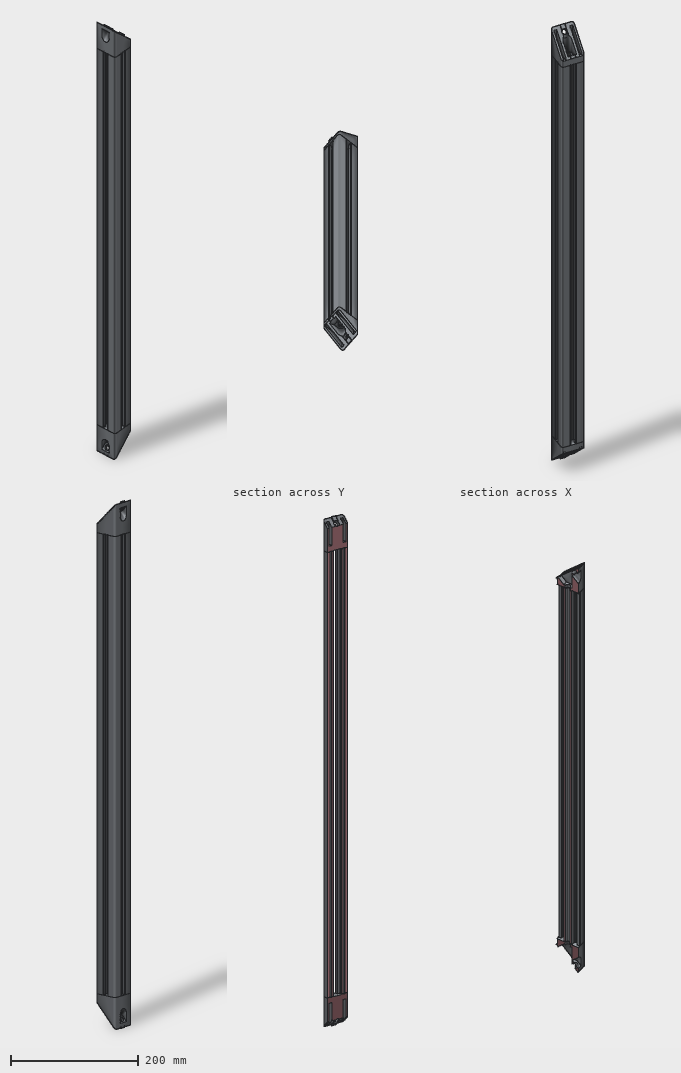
import cadquery as cq
import math

bar_size = 40.0
half_size = bar_size / 2
bar_length = 750.0
corner_radius = 4.0
core_diameter = 6.8

slot_half_width = 4.1
mouth_half_width = 5.4
mouth_depth = 0.8
lip_depth = 5.5
undercut_half_width = 9.0
undercut_depth = 8.5
slot_floor_half_width = 6.5
slot_depth = 12.25

overall_length = 856.83
mitre_sine = math.sin(math.radians(45))
mitre_length = bar_size / mitre_sine

key_width = 8.0
key_overhang = 1.44
key_height = key_overhang / mitre_sine
cap_height = (overall_length - bar_length) / 2 - key_overhang
mitre_mid_height = cap_height - half_size

screw_diameter = 9.0
head_diameter = 15.0

axial_seat_height = 6.0
axial_seat_reach = 7.0

mounting_hole_offset = 16.0
mounting_pocket_offset = 14.2
mounting_wall = 5.5

side_pocket_x = 14.0
side_pocket_y = 1.0
side_pocket_width = 5.0
side_pocket_length = 34.0
side_pocket_floor = 10.0


def make_block(length):
    """Square block with rounded long edges, standing on Z = 0."""
    block = cq.Workplane("XY").rect(bar_size, bar_size).extrude(length)
    return block.edges("|Z").fillet(corner_radius)


def make_slot():
    """T-slot cutter for the +Y side of the bar."""
    half_outline = [
        (mouth_half_width, half_size),
        (slot_half_width, half_size - mouth_depth),
        (slot_half_width, half_size - lip_depth),
        (undercut_half_width, half_size - lip_depth),
        (undercut_half_width, half_size - undercut_depth),
        (slot_floor_half_width, half_size - slot_depth),
    ]
    mirrored_outline = [(-x, y) for x, y in reversed(half_outline)]
    return cq.Workplane("XY").polyline(half_outline + mirrored_outline).close().extrude(bar_length)


def make_bar():
    bar = make_block(bar_length)
    bar = bar.cut(cq.Workplane("XY").circle(core_diameter / 2).extrude(bar_length))
    slot = make_slot()
    for side in range(4):
        bar = bar.cut(slot.rotate((0, 0, 0), (0, 0, 1), 90 * side))
    return bar


def mitre_face(offset=0.0):
    """Workplane on the mitre face: local y climbs the slope toward -Y, local z points outward."""
    plane = cq.Plane(
        origin=(0, 0, mitre_mid_height),
        xDir=(-1, 0, 0),
        normal=(0, mitre_sine, mitre_sine),
    )
    return cq.Workplane(plane).workplane(offset=offset)


def make_axial_screw_space():
    """Through hole, round head bore and sloping access for the screw into the bar's core."""
    hole = cq.Workplane("XY").circle(screw_diameter / 2).extrude(cap_height)
    seat = cq.Workplane("XY").workplane(offset=axial_seat_height)
    head_bore = seat.circle(head_diameter / 2).extrude(cap_height)
    access = (
        cq.Workplane("YZ")
        .moveTo(0, axial_seat_height)
        .lineTo(axial_seat_reach, axial_seat_height)
        .lineTo(axial_seat_reach + cap_height, axial_seat_height + cap_height)
        .lineTo(0, axial_seat_height + cap_height)
        .close()
        .extrude(head_diameter / 2, both=True)
    )
    return hole.union(head_bore).union(access)


def make_mounting_screw_space():
    """Hole square to the mitre face, with a U-shaped head pocket that opens on the -Y face."""
    hole_start = mitre_face().center(0, mounting_hole_offset)
    hole = hole_start.circle(screw_diameter / 2).extrude(bar_size, both=True)
    floor = mitre_face(-mounting_wall).center(0, mounting_pocket_offset)
    pocket_end = floor.circle(head_diameter / 2).extrude(-bar_size)
    pocket_run = floor.center(0, bar_size / 2).rect(head_diameter, bar_size).extrude(-bar_size)
    return hole.union(pocket_end).union(pocket_run)


def make_side_pockets():
    return (
        cq.Workplane("XY")
        .workplane(offset=side_pocket_floor)
        .pushPoints([(-side_pocket_x, side_pocket_y), (side_pocket_x, side_pocket_y)])
        .rect(side_pocket_width, side_pocket_length)
        .extrude(cap_height)
    )


def make_cap():
    """Cap standing on Z = 0 with its mitre face turned to +Y and +Z."""
    waste = mitre_face().rect(2 * mitre_length, 2 * mitre_length).extrude(mitre_length)
    key = mitre_face().rect(key_width, mitre_length).extrude(key_height)
    return (
        make_block(cap_height)
        .cut(waste)
        .union(key)
        .cut(make_axial_screw_space())
        .cut(make_mounting_screw_space())
        .cut(make_side_pockets())
    )


bar = make_bar()
cap = make_cap()
bar_middle = (0, 0, bar_length / 2)
top_cap = cap.translate((0, 0, bar_length))
bottom_cap = top_cap.mirror("XY", bar_middle)

result = cq.Compound.makeCompound([body.solids().val() for body in (bar, top_cap, bottom_cap)])